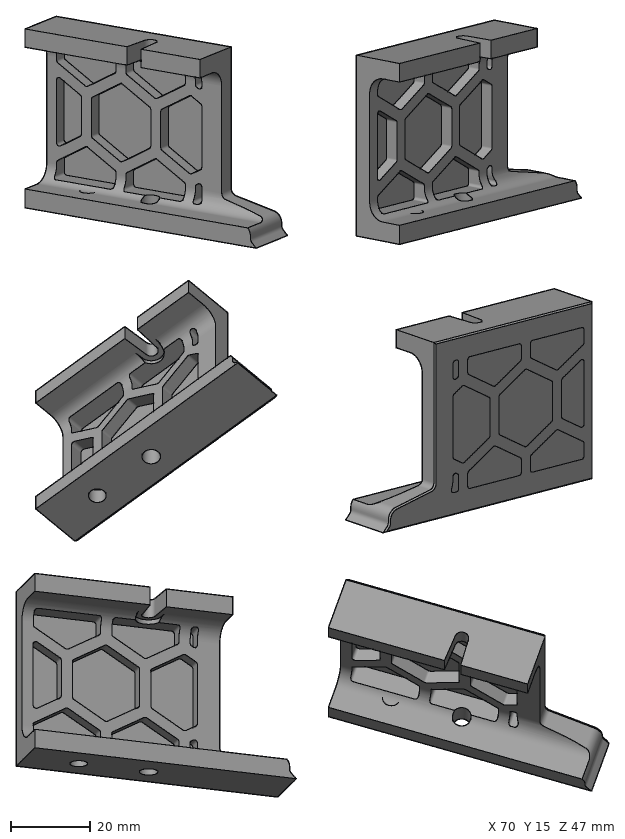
import cadquery as cq
import math

LENGTH = 70.0
HEIGHT = 47.0
DEPTH = 15.0
WEB_LENGTH = 53.0
WEB_THICKNESS = 5.0
TOP_FLANGE = 4.8
BOTTOM_FLANGE = 5.0
CHANNEL_FILLET = 4.5
BACK_CHAMFER_DEPTH = 0.5
BACK_CHAMFER_INSET = 0.35

FOOT_SLOPE = math.radians(11)
FOOT_CORNER_HEIGHT = 9.7
FOOT_INNER_RADIUS = 1.6
FOOT_OUTER_RADIUS = 3.0
FOOT_END_X = 68.25
TOE_RADIUS = 1.5
TOE_SLOPE = math.radians(45)

HEX_WIDTH = 18.0
HEX_GAP = 3.0
HEX_CENTRE_X = 22.55
HEX_CENTRE_Z = HEIGHT / 2
LEFT_BORDER = 3.0
BORDER = 6.0
WINDOW_CORNER_RADIUS = 0.8
PANEL_THICKNESS = 1.5

HEX_PITCH = HEX_WIDTH + HEX_GAP
HEX_ROW_PITCH = HEX_PITCH * math.sin(math.radians(60))
HEX_CORNER_DIAMETER = HEX_WIDTH / math.cos(math.radians(30))

HOLE_Y = DEPTH / 2
SCREW_X = HEX_CENTRE_X + HEX_PITCH / 2
SLOT_END_RADIUS = 1.75
HEAD_END_RADIUS = 3.3
SLOT_FLARE = 0.4
ACCESS_HOLE_DIAMETER = 4.7
BLIND_HOLE_DIAMETER = 4.5
BLIND_HOLE_X = 14.35
BLIND_HOLE_DEPTH = 4.9

WEB_FRONT = DEPTH - WEB_THICKNESS
FLANGE_UNDERSIDE = HEIGHT - TOP_FLANGE


def polar(centre, radius, angle):
    """Point on a circle at an angle from +X."""
    return (centre[0] + radius * math.cos(angle), centre[1] + radius * math.sin(angle))


def make_block():
    """Solid block with the foot, its XZ outline extruded from front to back, back edge chamfered."""
    inner_centre = (WEB_LENGTH + FOOT_INNER_RADIUS, FOOT_CORNER_HEIGHT)
    upward_normal = math.pi / 2 - FOOT_SLOPE
    slope_start = polar(inner_centre, -FOOT_INNER_RADIUS, upward_normal)

    outer_centre_x = FOOT_END_X - FOOT_OUTER_RADIUS
    slope_end_x = outer_centre_x + FOOT_OUTER_RADIUS * math.cos(upward_normal)
    slope_end_z = slope_start[1] - (slope_end_x - slope_start[0]) * math.tan(FOOT_SLOPE)
    outer_centre = (outer_centre_x, slope_end_z - FOOT_OUTER_RADIUS * math.sin(upward_normal))

    toe_start_x = FOOT_END_X + TOE_RADIUS * (1 - math.cos(TOE_SLOPE))
    toe_start = (toe_start_x, (LENGTH - toe_start_x) * math.tan(TOE_SLOPE))
    toe_centre = (FOOT_END_X + TOE_RADIUS, toe_start[1] + TOE_RADIUS * math.sin(TOE_SLOPE))

    return (
        cq.Workplane("XZ")
        .moveTo(0, 0)
        .lineTo(0, HEIGHT)
        .lineTo(WEB_LENGTH, HEIGHT)
        .lineTo(WEB_LENGTH, FOOT_CORNER_HEIGHT)
        .threePointArc(polar(inner_centre, -FOOT_INNER_RADIUS, upward_normal / 2), slope_start)
        .lineTo(slope_end_x, slope_end_z)
        .threePointArc(
            polar(outer_centre, FOOT_OUTER_RADIUS, upward_normal / 2),
            (FOOT_END_X, outer_centre[1]),
        )
        .lineTo(FOOT_END_X, toe_centre[1])
        .threePointArc(polar(toe_centre, -TOE_RADIUS, TOE_SLOPE / 2), toe_start)
        .lineTo(LENGTH, 0)
        .close()
        .extrude(-DEPTH)
        .faces(">Y")
        .chamfer(BACK_CHAMFER_DEPTH, BACK_CHAMFER_INSET)
    )


def make_channel():
    """Space between the flanges, in front of the web."""
    return (
        cq.Workplane("XY")
        .box(LENGTH, WEB_FRONT, FLANGE_UNDERSIDE - BOTTOM_FLANGE, centered=False)
        .translate((0, 0, BOTTOM_FLANGE))
        .edges("|X and >Y")
        .fillet(CHANNEL_FILLET)
    )


def make_window_area(front):
    """Area inside the border; its lower right side keeps clear of the foot's inner curve."""
    right = WEB_LENGTH - BORDER
    top = HEIGHT - BORDER
    curve_centre = (WEB_LENGTH + FOOT_INNER_RADIUS, FOOT_CORNER_HEIGHT)
    curve_radius = FOOT_INNER_RADIUS + BORDER
    curve_angle = math.asin((FOOT_CORNER_HEIGHT - BORDER) / curve_radius)
    return (
        cq.Workplane("XZ", origin=(0, front, 0))
        .moveTo(LEFT_BORDER, BORDER)
        .lineTo(*polar(curve_centre, -curve_radius, curve_angle))
        .threePointArc(
            polar(curve_centre, -curve_radius, curve_angle / 2),
            (right, FOOT_CORNER_HEIGHT),
        )
        .lineTo(right, top)
        .lineTo(LEFT_BORDER, top)
        .close()
        .extrude(front - DEPTH)
    )


def make_window_prisms(front):
    """One prism for each window, from the plane Y = front to the back face."""
    area = make_window_area(front)
    smooth_joint = cq.Vector(WEB_LENGTH - BORDER, 0, FOOT_CORNER_HEIGHT)
    near_joint = cq.selectors.BoxSelector(
        (smooth_joint.x - WINDOW_CORNER_RADIUS, front, smooth_joint.z - WINDOW_CORNER_RADIUS),
        (smooth_joint.x + WINDOW_CORNER_RADIUS, DEPTH, smooth_joint.z + WINDOW_CORNER_RADIUS),
    )
    corners = cq.selectors.ParallelDirSelector(cq.Vector(0, 1, 0)) - near_joint

    prisms = []
    for row in (-1, 0, 1):
        row_shift = abs(row) / 2
        for column in (-1, 0, 1):
            x = HEX_CENTRE_X + (column + row_shift) * HEX_PITCH
            z = HEX_CENTRE_Z + row * HEX_ROW_PITCH
            prism = (
                cq.Workplane("XZ", origin=(x, front, z))
                .transformed(rotate=(0, 0, 30))
                .polygon(6, HEX_CORNER_DIAMETER)
                .extrude(front - DEPTH)
                .intersect(area)
                .edges(corners)
                .fillet(WINDOW_CORNER_RADIUS)
            )
            prisms.append(prism)
    return prisms


def make_open_slot(end_radius, bottom, top):
    """Slot open at the front face, narrowing to a round end at the screw axis."""
    front_half_width = end_radius + SLOT_FLARE
    return (
        cq.Workplane("XY", origin=(SCREW_X, 0, bottom))
        .moveTo(-front_half_width, 0)
        .lineTo(-end_radius, HOLE_Y)
        .threePointArc((0, HOLE_Y + end_radius), (end_radius, HOLE_Y))
        .lineTo(front_half_width, 0)
        .close()
        .extrude(top - bottom)
    )


def make_bottom_hole(x, diameter, depth):
    """Upright hole in the bottom flange, drilled from below."""
    return cq.Workplane("XY", origin=(x, HOLE_Y, 0)).circle(diameter / 2).extrude(depth)


def make_bracket():
    """Channel-shaped body with its windows, screw slot and holes."""
    bracket = make_block().cut(make_channel())
    for window in make_window_prisms(0):
        bracket = bracket.cut(window)
    shank_slot = make_open_slot(SLOT_END_RADIUS, FLANGE_UNDERSIDE, HEIGHT)
    head_recess = make_open_slot(HEAD_END_RADIUS, HEIGHT - BORDER, FLANGE_UNDERSIDE)
    access_hole = make_bottom_hole(SCREW_X, ACCESS_HOLE_DIAMETER, BOTTOM_FLANGE + CHANNEL_FILLET)
    blind_hole = make_bottom_hole(BLIND_HOLE_X, BLIND_HOLE_DIAMETER, BLIND_HOLE_DEPTH)
    return bracket.cut(shank_slot).cut(head_recess).cut(access_hole).cut(blind_hole).solids().val()


def make_panels():
    """Thin panels that close the windows flush with the back face."""
    return [prism.solids().val() for prism in make_window_prisms(DEPTH - PANEL_THICKNESS)]


bracket = make_bracket()
panels = make_panels()
result = cq.Compound.makeCompound([bracket, *panels])